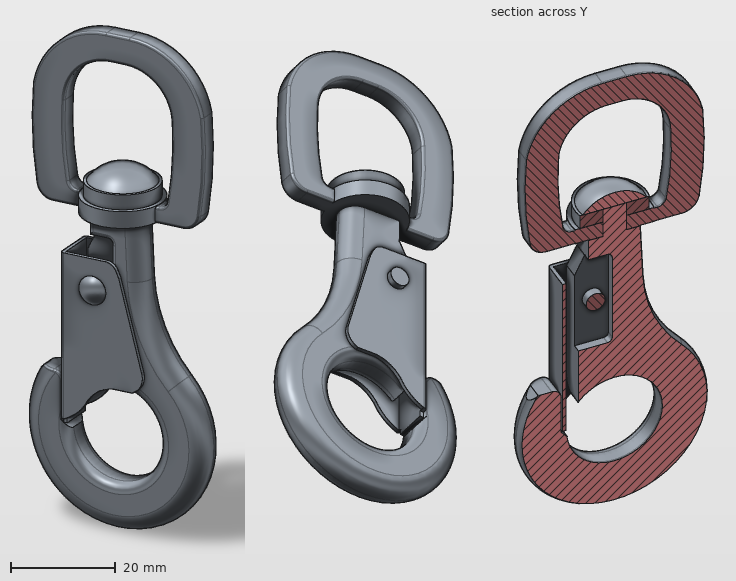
import cadquery as cq
import math


hook_outer_radius = 20.0
hook_inner_radius = 10.0
hook_thickness = 7.0
crest_width = 0.02
outer_round = (hook_thickness - crest_width) / 2
inner_round = 2.0
flare_angle = math.radians(43.7)
flare_radius = 29.0
shank_lean = math.radians(2.7)
shank_left = -5.5
shank_top = 45.0
web_left = -7.6
web_shoulder_z = 35.9

tip_top = 10.9
tip_outer_x = -16.1
tip_slope_length = 3.1
tip_corner_radius = 2.0
tip_edge_round = 0.5
mouth_left = -11.2
lip_height = 0.5
lip_slope = 1.2

pocket_top = 40.2
pocket_right = -0.5
pocket_corner_radius = 1.0
pocket_edge_round = 0.9

stem_radius = 3.1

ring_top = 82.0
ring_thickness = 4.0
ring_edge_round = 0.5
outer_flat_half = 2.5
outer_shoulder = (18.7, 68.6)
outer_side_mid = (19.0, 60.8)
outer_foot = (17.3, shank_top)
outer_arc_radius = 16.3
outer_corner_radius = 3.7
window_top = 76.2
window_flat_half = 1.7
window_shoulder = (11.7, 66.3)
window_side_mid = (11.8, 60.2)
window_foot = (10.5, 48.3)
window_arc_radius = 10.1
window_corner_radius = 1.8

hub_radius = 8.5
hub_height = 3.5
washer_radius = 7.5
washer_height = 3.1
head_radius = 6.9
head_height = 3.5
washer_bottom = shank_top + hub_height
head_bottom = washer_bottom + washer_height

gate_back = -11.0
gate_width = 9.6
gate_wall = 0.8
gate_top = 36.1
gate_bottom = 1.7
gate_tongue_bottom = 0.5
gate_bend_radius = 0.7
gate_top_right = 0.5
gate_corner_radius = 2.5
gate_side_top = (1.8, 33.2)
gate_side_bottom = (6.8, 14.6)
gate_heel_mid = (6.6, 11.9)
gate_heel_end = (4.7, 10.1)
gate_flat_end = 0.5
gate_hollow_mid = (-2.5, 9.0)
gate_hollow_end = (-5.0, 6.6)
gate_belly_mid = (-7.1, 3.8)

rivet_x = -4.0
rivet_z = 29.6
rivet_radius = 2.0
rivet_head_radius = 3.0
rivet_head_height = 1.7
rivet_tail = 1.3


def plate(outline, thickness):
    """Extrude an XZ outline evenly to both sides of the XZ plane."""
    return outline.extrude(thickness / 2, both=True)


def sagged_point(start, end, radius):
    """Middle point of the arc from start to end that bulges to the left of its direction."""
    dx = end[0] - start[0]
    dz = end[1] - start[1]
    chord = math.hypot(dx, dz)
    sag = radius - math.sqrt(radius ** 2 - (chord / 2) ** 2)
    return ((start[0] + end[0]) / 2 - dz / chord * sag, (start[1] + end[1]) / 2 + dx / chord * sag)


def polar(centre, radius, angle):
    return (centre[0] + radius * math.cos(angle), centre[1] + radius * math.sin(angle))


def dome(base_radius, height):
    """Spherical cap standing on the XY plane."""
    sphere_radius = (base_radius ** 2 + height ** 2) / (2 * height)
    half_angle = math.asin(base_radius / sphere_radius) / 2
    mid = (sphere_radius * math.sin(half_angle), height - sphere_radius * (1 - math.cos(half_angle)))
    return (
        cq.Workplane("XZ")
        .lineTo(base_radius, 0)
        .threePointArc(mid, (0, height))
        .close()
        .revolve(360, (0, 0, 0), (0, 1, 0))
    )


def rivet_bore(radius):
    return (
        cq.Workplane("XZ").center(rivet_x, rivet_z).circle(radius).extrude(gate_width, both=True)
    )


def hook_blank():
    """Eye and shank in one plate, with rounded outer and inner edges and the mouth still closed."""
    origin = (0, 0)
    flare_centre = polar(origin, hook_outer_radius + flare_radius, flare_angle)
    flare_bottom = polar(origin, hook_outer_radius, flare_angle)
    flare_end_angle = math.pi + shank_lean
    flare_mid_angle = (flare_end_angle + math.pi + flare_angle) / 2
    flare_mid = polar(flare_centre, flare_radius, flare_mid_angle)
    flare_top = polar(flare_centre, flare_radius, flare_end_angle)
    blank_end_angle = math.acos(web_left / hook_outer_radius)
    shank_right = flare_top[0] - (shank_top - flare_top[1]) * math.tan(shank_lean)
    blank = plate(
        cq.Workplane("XZ")
        .moveTo(shank_left, shank_top)
        .lineTo(shank_right, shank_top)
        .lineTo(*flare_top)
        .threePointArc(flare_mid, flare_bottom)
        .threePointArc((0, -hook_outer_radius), polar(origin, hook_outer_radius, blank_end_angle))
        .lineTo(web_left, web_shoulder_z)
        .lineTo(shank_left, pocket_top)
        .close(),
        hook_thickness,
    )
    outer_edges = cq.selectors.BoxSelector(
        (0, -hook_thickness, -hook_outer_radius), (2 * hook_outer_radius, hook_thickness, shank_top)
    )
    blank = blank.faces("<Y or >Y").edges(outer_edges).fillet(outer_round)
    eye = plate(cq.Workplane("XZ").circle(hook_inner_radius), hook_thickness)
    inner_edges = cq.selectors.RadiusNthSelector(0)
    blank = blank.cut(eye)
    return blank.faces("<Y or >Y").edges("%CIRCLE").edges(inner_edges).fillet(inner_round)


def cut_mouth(hook):
    """Open the eye between the tip and the web, ending in a sloping lip at the bottom."""
    clear = 2 * hook_outer_radius
    lip_z = lip_height - (web_left - mouth_left) * lip_slope
    mouth = plate(
        cq.Workplane("XZ")
        .moveTo(mouth_left, lip_height)
        .lineTo(mouth_left, tip_top - tip_corner_radius)
        .radiusArc((mouth_left - tip_corner_radius, tip_top), -tip_corner_radius)
        .lineTo(tip_outer_x, tip_top)
        .lineTo(tip_outer_x - tip_slope_length, tip_top - tip_slope_length)
        .lineTo(-clear, tip_top)
        .lineTo(-clear, clear)
        .lineTo(web_left, clear)
        .lineTo(web_left, lip_z)
        .close(),
        2 * hook_thickness,
    )
    hook = hook.cut(mouth)
    inner_face = cq.selectors.BoxSelector(
        (mouth_left - tip_corner_radius, -hook_thickness, lip_height),
        (mouth_left + tip_edge_round, hook_thickness, tip_top),
    )
    return hook.edges("#Y").edges(inner_face).fillet(tip_edge_round)


def cut_spring_pocket(hook):
    """Pocket in the -Y half of the web, centred on the rivet and open to the left."""
    height = 2 * (pocket_top - rivet_z)
    width = pocket_right - 2 * web_left
    pocket = (
        cq.Workplane("XY")
        .box(width, hook_thickness, height)
        .edges("|Y and >X")
        .fillet(pocket_corner_radius)
        .translate((pocket_right - width / 2, -hook_thickness / 2, rivet_z))
    )
    hook = hook.cut(pocket)
    margin = 0.3
    rim = cq.selectors.BoxSelector(
        (shank_left - margin, -hook_thickness / 2 - margin, rivet_z - height / 2 + margin),
        (pocket_right + margin, -hook_thickness / 2 + margin, shank_top - margin),
    )
    return hook.edges(rim).fillet(pocket_edge_round)


def make_hook():
    """Hook with its swivel stem, which ends under the domed head."""
    hook = cut_spring_pocket(cut_mouth(hook_blank()))
    hook = hook.cut(rivet_bore(rivet_radius))
    stem = (
        cq.Workplane("XY", origin=(0, 0, shank_top))
        .circle(stem_radius)
        .extrude(head_bottom - shank_top)
    )
    return hook.union(stem)


def d_plate(top, flat_half, shoulder, side_mid, foot, arc_radius, corner_radius):
    """D-shaped plate, symmetric about the Z axis, with its two bottom corners rounded."""
    crown_end = (flat_half, top)
    crown_mid = sagged_point(crown_end, shoulder, arc_radius)

    def mirrored(point):
        return (-point[0], point[1])

    outline = (
        cq.Workplane("XZ")
        .moveTo(-flat_half, top)
        .lineTo(*crown_end)
        .threePointArc(crown_mid, shoulder)
        .threePointArc(side_mid, foot)
        .lineTo(*mirrored(foot))
        .threePointArc(mirrored(side_mid), mirrored(shoulder))
        .threePointArc(mirrored(crown_mid), mirrored(crown_end))
        .close()
    )
    return plate(outline, ring_thickness).edges("|Y and <Z").fillet(corner_radius)


def make_ring():
    """D-shaped ring whose bottom bar carries the swivel hub."""
    body = d_plate(
        ring_top, outer_flat_half, outer_shoulder, outer_side_mid, outer_foot,
        outer_arc_radius, outer_corner_radius,
    )
    window = d_plate(
        window_top, window_flat_half, window_shoulder, window_side_mid, window_foot,
        window_arc_radius, window_corner_radius,
    )
    frame = body.cut(window).faces("<Y or >Y").edges().fillet(ring_edge_round)
    hub = cq.Workplane("XY", origin=(0, 0, shank_top)).circle(hub_radius).extrude(hub_height)
    bore = cq.Workplane("XY", origin=(0, 0, shank_top)).circle(stem_radius).extrude(hub_height)
    return frame.union(hub).cut(bore)


def make_washer():
    return (
        cq.Workplane("XY", origin=(0, 0, washer_bottom))
        .circle(washer_radius)
        .circle(stem_radius)
        .extrude(washer_height)
    )


def make_head():
    return dome(head_radius, head_height).translate((0, 0, head_bottom))


def make_gate():
    """U-shaped sheet closing the mouth: a back strip, two side walls and a tongue at the bottom."""
    walls = plate(
        cq.Workplane("XZ")
        .moveTo(gate_back, gate_bottom)
        .lineTo(gate_back, gate_top)
        .lineTo(gate_top_right, gate_top)
        .lineTo(*gate_side_top)
        .lineTo(*gate_side_bottom)
        .threePointArc(gate_heel_mid, gate_heel_end)
        .lineTo(gate_flat_end, gate_heel_end[1])
        .threePointArc(gate_hollow_mid, gate_hollow_end)
        .threePointArc(gate_belly_mid, (gate_back + gate_wall, gate_bottom))
        .close(),
        gate_width,
    )
    top_corner = cq.selectors.NearestToPointSelector((gate_top_right, 0, gate_top))
    walls = walls.edges("|Y").edges(top_corner).fillet(gate_corner_radius)
    walls = walls.edges("|Z and <X").fillet(gate_bend_radius)
    channel_width = gate_width - 2 * gate_wall
    channel = (
        cq.Workplane("XY", origin=(gate_back + gate_wall, 0, 0))
        .box(2 * hook_outer_radius, channel_width, gate_top, centered=(False, True, False))
    )
    tongue = (
        cq.Workplane("XY", origin=(gate_back, 0, gate_tongue_bottom))
        .box(gate_wall, hook_thickness, gate_bottom, centered=(False, True, False))
    )
    return walls.cut(channel).union(tongue).cut(rivet_bore(rivet_radius))


def make_rivet():
    """Pivot pin with a domed head on the -Y side and a plain end on the +Y side."""
    wall = gate_width / 2
    shank = (
        cq.Workplane("XZ", origin=(rivet_x, -wall, rivet_z))
        .circle(rivet_radius)
        .extrude(-(gate_width + rivet_tail))
    )
    head = (
        dome(rivet_head_radius, rivet_head_height)
        .rotate((0, 0, 0), (1, 0, 0), 90)
        .translate((rivet_x, -wall, rivet_z))
    )
    return shank.union(head)


hook = make_hook()
ring = make_ring()
washer = make_washer()
head = make_head()
gate = make_gate()
rivet = make_rivet()

result = cq.Compound.makeCompound(
    [hook.val(), ring.val(), washer.val(), head.val(), gate.val(), rivet.val()]
)